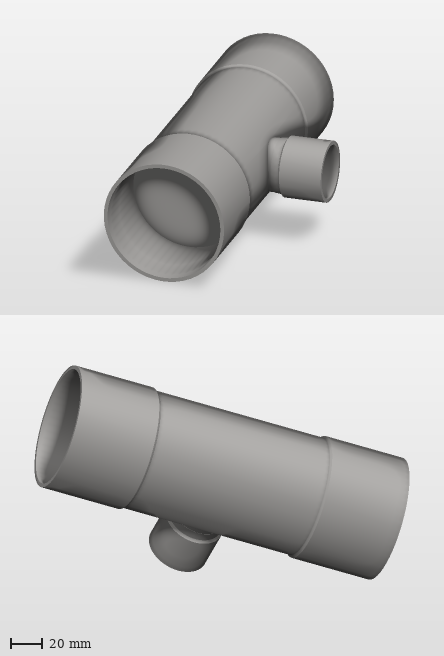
import cadquery as cq

run_length = 226.0
run_diameter = 78.0
run_socket_diameter = 81.0
run_bore_diameter = 76.0
run_socket_length = 53.3
run_shoulder_length = 1.5

branch_reach = 75.0
branch_root_diameter = 35.0
branch_neck_start_diameter = 35.5
branch_neck_end_diameter = 36.5
branch_socket_diameter = 40.0
branch_wall = 2.5
branch_neck_start = 40.5
branch_neck_end = 45.7
branch_socket_start = 47.0

run_end = run_length / 2
run_socket_start = run_end - run_socket_length
run_body_end = run_socket_start - run_shoulder_length

branch_bore_diameter = branch_socket_diameter - 2 * branch_wall
branch_socket_length = branch_reach - branch_socket_start


def make_run():
    """Revolve the body with its conical shoulders and end sockets about Y."""
    body_radius = run_diameter / 2
    socket_radius = run_socket_diameter / 2
    profile = [
        (0, -run_end),
        (socket_radius, -run_end),
        (socket_radius, -run_socket_start),
        (body_radius, -run_body_end),
        (body_radius, run_body_end),
        (socket_radius, run_socket_start),
        (socket_radius, run_end),
        (0, run_end),
    ]
    return cq.Workplane("XY").polyline(profile).close().revolve(360, (0, 0), (0, 1))


def make_branch():
    """Revolve the root, tapered neck, shoulder and socket about X."""
    profile = [
        (0, 0),
        (0, branch_root_diameter / 2),
        (branch_neck_start, branch_root_diameter / 2),
        (branch_neck_start, branch_neck_start_diameter / 2),
        (branch_neck_end, branch_neck_end_diameter / 2),
        (branch_socket_start, branch_socket_diameter / 2),
        (branch_reach, branch_socket_diameter / 2),
        (branch_reach, 0),
    ]
    return cq.Workplane("XY").polyline(profile).close().revolve(360, (0, 0), (1, 0))


def bore_socket(part, face, diameter, depth):
    """Cut a blind round socket into the flat end face."""
    opening = part.faces(face).workplane(origin=(0, 0, 0))
    return opening.circle(diameter / 2).cutBlind(-depth)


result = make_run().union(make_branch())
for run_face in ("<Y", ">Y"):
    result = bore_socket(result, run_face, run_bore_diameter, run_socket_length)
result = bore_socket(result, ">X", branch_bore_diameter, branch_socket_length)